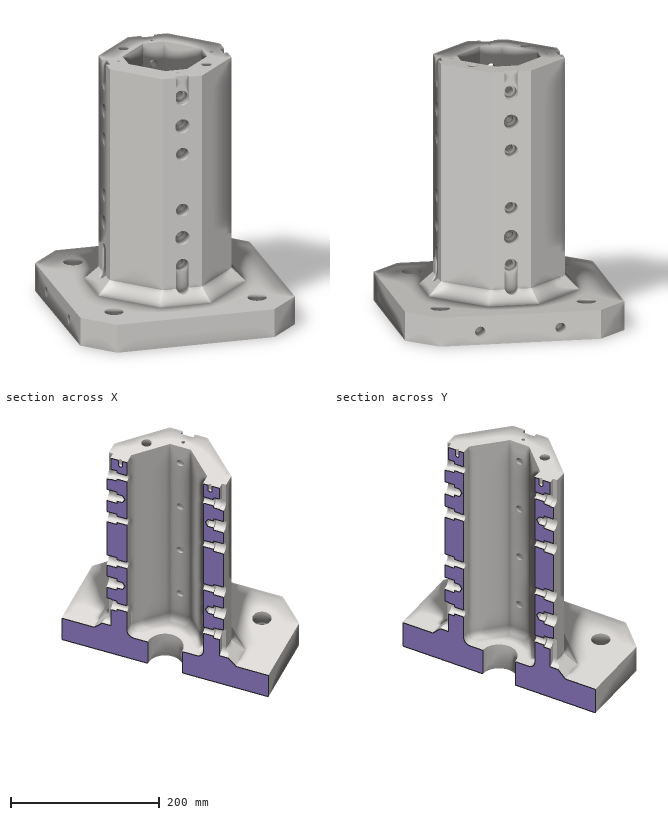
import cadquery as cq
import math

PLATE_WIDTH = 300.0
PLATE_THICKNESS = 40.0
PLATE_CORNER_CUT = 40.0

TOTAL_HEIGHT = 360.0
COLUMN_FLAT = 85.0
COLUMN_DIAGONAL = 79.5
WALL = 30.0
SKIRT_SIZE = 18.0

BORE_FLOOR_Z = PLATE_THICKNESS
BORE_FLOOR_RADIUS = 10.0
CENTRE_HOLE_DIAMETER = 50.0

MOUNT_OFFSET = 100.0
MOUNT_DIAMETER = 18.0
MOUNT_COUNTERBORE = 26.0
MOUNT_COUNTERBORE_DEPTH = 20.0

LIFT_DIAMETER = 14.0
LIFT_DEPTH = 25.0
PLATE_LIFT_X = 55.0
PLATE_LIFT_Z = 18.0
TOP_LIFT_OFFSET = 45.0

PIN_DIAMETER = 5.0
PIN_DEPTH = 10.0
PIN_RADIUS = 65.0

PATTERN_MID_Z = 210.0
SCREW_OFFSETS = (40.0, 120.0)
SCREW_DIAMETER = 10.8
SCREW_COUNTERBORE = 18.0
SCREW_COUNTERBORE_DEPTH = 15.0
DOWEL_OFFSET = 80.0
DOWEL_BORE = 20.0
DOWEL_BORE_DEPTH = 15.0
DOWEL_TIP_DIAMETER = 12.0
DOWEL_TIP_DEPTH = 23.0

SLOT_WIDTH = 18.0
SLOT_DEPTH = 6.0
SLOT_OVERRUN = 1.0
LOWER_SLOT_BOTTOM_Z = 51.5

DRILL_POINT_ANGLE = 118.0


def octagon(flat, diagonal, z):
    """Octagon outline at height z from its two axis-to-side distances."""
    half_side = diagonal * math.sqrt(2.0) - flat
    points = [
        (flat, half_side), (half_side, flat), (-half_side, flat), (-flat, half_side),
        (-flat, -half_side), (-half_side, -flat), (half_side, -flat), (flat, -half_side),
    ]
    return cq.Workplane("XY").workplane(offset=z).polyline(points).close()


def cylinder(diameter, depth, start, direction):
    """Cylinder running from start along direction."""
    return cq.Workplane(cq.Solid.makeCylinder(diameter / 2, depth, cq.Vector(*start), cq.Vector(*direction)))


def drilled_hole(diameter, depth, start, direction):
    """Blind hole of the given full-diameter depth, ending in a conical drill point."""
    radius = diameter / 2
    point_height = radius / math.tan(math.radians(DRILL_POINT_ANGLE / 2))
    way = cq.Vector(*direction)
    tip_base = cq.Vector(*start) + way * depth
    point = cq.Solid.makeCone(radius, 0, point_height, tip_base, way)
    return cylinder(diameter, depth, start, direction).union(cq.Workplane(point))


def make_body():
    plate = cq.Workplane("XY").rect(PLATE_WIDTH, PLATE_WIDTH).extrude(PLATE_THICKNESS)
    plate = plate.edges("|Z").chamfer(PLATE_CORNER_CUT)
    skirt_foot = octagon(COLUMN_FLAT + SKIRT_SIZE, COLUMN_DIAGONAL + SKIRT_SIZE, PLATE_THICKNESS).val()
    skirt_head = octagon(COLUMN_FLAT, COLUMN_DIAGONAL, PLATE_THICKNESS + SKIRT_SIZE).val()
    skirt = cq.Workplane(cq.Solid.makeLoft([skirt_foot, skirt_head], True))
    column = octagon(COLUMN_FLAT, COLUMN_DIAGONAL, PLATE_THICKNESS).extrude(TOTAL_HEIGHT - PLATE_THICKNESS)
    return plate.union(skirt).union(column)


def cut_bore(body):
    bore = octagon(COLUMN_FLAT - WALL, COLUMN_DIAGONAL - WALL, BORE_FLOOR_Z)
    bore = bore.extrude(TOTAL_HEIGHT - BORE_FLOOR_Z).faces("<Z").edges().fillet(BORE_FLOOR_RADIUS)
    return body.cut(bore).cut(cylinder(CENTRE_HOLE_DIAMETER, TOTAL_HEIGHT, (0, 0, 0), (0, 0, 1)))


def cut_mount_holes(body):
    for x in (-MOUNT_OFFSET, MOUNT_OFFSET):
        for y in (-MOUNT_OFFSET, MOUNT_OFFSET):
            top = (x, y, PLATE_THICKNESS)
            body = body.cut(cylinder(MOUNT_DIAMETER, PLATE_THICKNESS, top, (0, 0, -1)))
            body = body.cut(cylinder(MOUNT_COUNTERBORE, MOUNT_COUNTERBORE_DEPTH, top, (0, 0, -1)))
    return body


def cut_lift_holes(body):
    for side in (-1, 1):
        front = (side * PLATE_LIFT_X, -PLATE_WIDTH / 2, PLATE_LIFT_Z)
        top = (side * TOP_LIFT_OFFSET, side * TOP_LIFT_OFFSET, TOTAL_HEIGHT)
        body = body.cut(drilled_hole(LIFT_DIAMETER, LIFT_DEPTH, front, (0, 1, 0)))
        body = body.cut(drilled_hole(LIFT_DIAMETER, LIFT_DEPTH, top, (0, 0, -1)))
    return body


def slot_cutter(low_z, high_z):
    """Slot for the -Y face with rounded ends at low_z and high_z, open outwards."""
    slot = cq.Workplane("XZ").center(0, (low_z + high_z) / 2).slot2D(high_z - low_z, SLOT_WIDTH, 90)
    return slot.extrude(SLOT_DEPTH + SKIRT_SIZE).translate((0, SLOT_DEPTH - COLUMN_FLAT, 0))


def face_cutter():
    """Everything cut into the -Y face of the column, including its top pin hole."""
    inward = (0, 1, 0)
    cutter = drilled_hole(PIN_DIAMETER, PIN_DEPTH, (0, -PIN_RADIUS, TOTAL_HEIGHT), (0, 0, -1))
    for side in (-1, 1):
        for offset in SCREW_OFFSETS:
            start = (0, -COLUMN_FLAT, PATTERN_MID_Z + side * offset)
            cutter = cutter.union(cylinder(SCREW_DIAMETER, WALL, start, inward))
            cutter = cutter.union(cylinder(SCREW_COUNTERBORE, SCREW_COUNTERBORE_DEPTH, start, inward))
        start = (0, -COLUMN_FLAT, PATTERN_MID_Z + side * DOWEL_OFFSET)
        cutter = cutter.union(cylinder(DOWEL_BORE, DOWEL_BORE_DEPTH, start, inward))
        cutter = cutter.union(drilled_hole(DOWEL_TIP_DIAMETER, DOWEL_TIP_DEPTH, start, inward))
    slot_reach = max(SCREW_OFFSETS) - SLOT_OVERRUN - SLOT_WIDTH / 2
    lower_slot = slot_cutter(LOWER_SLOT_BOTTOM_Z, PATTERN_MID_Z - slot_reach)
    upper_slot = slot_cutter(PATTERN_MID_Z + slot_reach, TOTAL_HEIGHT + SLOT_WIDTH)
    return cutter.union(lower_slot).union(upper_slot)


def cut_faces(body):
    cutter = face_cutter()
    for angle in (0, 90, 180, 270):
        body = body.cut(cutter.rotate((0, 0, 0), (0, 0, 1), angle))
    return body


result = cut_faces(cut_lift_holes(cut_mount_holes(cut_bore(make_body()))))